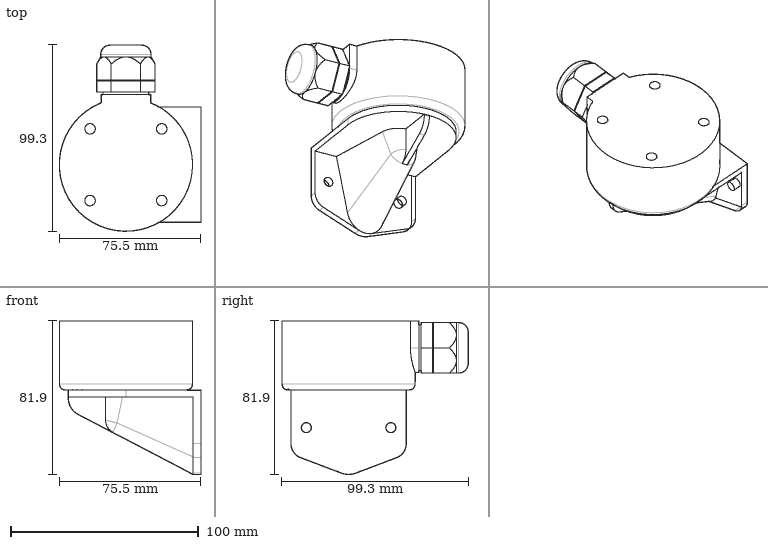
import cadquery as cq
import math

HOUSING_DIAMETER = 71.0
HOUSING_HEIGHT = 36.9
HOUSING_BOTTOM_RADIUS = 3.2
SCREW_HOLE_DIAMETER = 5.6
SCREW_CIRCLE_DIAMETER = 54.0
SCREW_HOLE_DEPTH = 10.0

GLAND_Z = 22.5
BOSS_WIDTH = 26.5
BOSS_END_Y = 37.35
NECK_DIAMETER = 24.4
HEX_ACROSS_FLATS = 27.0
HEX_START_Y = 38.6
HEX_JOINT_Y = 44.9
HEX_JOINT_WIDTH = 0.4
HEX_JOINT_DEPTH = 0.1
HEX_CHAMFER_Y = 53.7
HEX_END_Y = 57.4
DOME_START_Y = 58.6
GLAND_END_Y = 63.75

FLANGE_DIAMETER = 61.5
FLANGE_THICKNESS = 3.7
WALL_OUTER_X = 40.0
WALL_THICKNESS = 4.3
WALL_HEIGHT = 45.0
WALL_SLOPE = math.radians(20.8)
WALL_CORNER_RADIUS = 8.0
WALL_TIP_RADIUS = 11.0
WALL_HOLE_DIAMETER = 5.2
WALL_HOLE_SPACING = 45.0
WALL_HOLE_Z = -20.0

NOSE_X = -11.0
GUSSET_TOP_HALF_WIDTH = 17.7
GUSSET_TAPER_X = 0.184
GUSSET_TAPER_Z = 0.2127
BELLY_SLOPE = math.radians(27.6)
RIB_THICKNESS = 3.1
RIB_CORNER_RADIUS = 10.0

WALL_INNER_X = WALL_OUTER_X - WALL_THICKNESS
FLANGE_RADIUS = FLANGE_DIAMETER / 2
GUSSET_MARGIN = 20.0


def cylinder_y(diameter, start, end):
    """Cylinder on the gland axis between two Y positions."""
    return cq.Workplane(cq.Solid.makeCylinder(
        diameter / 2, end - start, cq.Vector(0, start, GLAND_Z), cq.Vector(0, 1, 0)))


def hexagon_y(across_flats, start, end):
    """Hexagonal prism on the gland axis with flats facing +Z and -Z."""
    across_corners = across_flats / math.cos(math.pi / 6)
    return (cq.Workplane("XZ", origin=(0, start, GLAND_Z))
            .polygon(6, across_corners).extrude(start - end))


def make_housing():
    drum = (cq.Workplane("XY").circle(HOUSING_DIAMETER / 2).extrude(HOUSING_HEIGHT)
            .faces("<Z").edges().fillet(HOUSING_BOTTOM_RADIUS))
    boss_round = cylinder_y(BOSS_WIDTH, 0, BOSS_END_Y)
    boss_block = cq.Workplane("XY", origin=(0, 0, GLAND_Z)).box(
        BOSS_WIDTH, BOSS_END_Y, HOUSING_HEIGHT - GLAND_Z, centered=(True, False, False))
    return drum.union(boss_block.union(boss_round))


def cut_screw_holes(body):
    spacing = SCREW_CIRCLE_DIAMETER / math.sqrt(2)
    holes = (cq.Workplane("XY", origin=(0, 0, HOUSING_HEIGHT))
             .rect(spacing, spacing, forConstruction=True).vertices()
             .circle(SCREW_HOLE_DIAMETER / 2).extrude(-SCREW_HOLE_DEPTH))
    return body.cut(holes)


def make_gland():
    neck = cylinder_y(NECK_DIAMETER, BOSS_END_Y, HEX_START_Y)
    flat_radius = HEX_ACROSS_FLATS / 2
    corner_radius = flat_radius / math.cos(math.pi / 6)
    bevel = (cq.Workplane("XY", origin=(0, 0, GLAND_Z))
             .polyline([(0, HEX_START_Y), (corner_radius, HEX_START_Y), (corner_radius, HEX_CHAMFER_Y),
                        (flat_radius, HEX_END_Y), (0, HEX_END_Y)])
             .close().revolve(360, (0, 0, 0), (0, 1, 0)))
    nut = hexagon_y(HEX_ACROSS_FLATS, HEX_START_Y, HEX_END_Y).intersect(bevel)
    joint_start = HEX_JOINT_Y - HEX_JOINT_WIDTH / 2
    joint_end = HEX_JOINT_Y + HEX_JOINT_WIDTH / 2
    joint = hexagon_y(HEX_ACROSS_FLATS + HEX_JOINT_WIDTH, joint_start, joint_end).cut(
        hexagon_y(HEX_ACROSS_FLATS - 2 * HEX_JOINT_DEPTH, joint_start, joint_end))
    dome = (cylinder_y(HEX_ACROSS_FLATS, HEX_END_Y, GLAND_END_Y)
            .faces(">Y").edges().fillet(GLAND_END_Y - DOME_START_Y))
    return neck.union(nut.cut(joint)).union(dome)


def make_flange():
    return (cq.Workplane("XY").moveTo(0, FLANGE_RADIUS)
            .threePointArc((-FLANGE_RADIUS, 0), (0, -FLANGE_RADIUS))
            .lineTo(WALL_OUTER_X, -FLANGE_RADIUS)
            .lineTo(WALL_OUTER_X, FLANGE_RADIUS)
            .close().extrude(-FLANGE_THICKNESS))


def make_wall():
    tip_z = -WALL_HEIGHT - WALL_TIP_RADIUS * (1 / math.cos(WALL_SLOPE) - 1)
    corner_z = tip_z + FLANGE_RADIUS * math.tan(WALL_SLOPE)
    wall = (cq.Workplane("YZ", origin=(WALL_INNER_X, 0, 0))
            .polyline([(-FLANGE_RADIUS, 0), (FLANGE_RADIUS, 0), (FLANGE_RADIUS, corner_z),
                       (0, tip_z), (-FLANGE_RADIUS, corner_z)])
            .close().extrude(WALL_THICKNESS))
    wall = wall.edges("|X").edges("<Z").fillet(WALL_TIP_RADIUS)
    wall = wall.edges("|X and (<Y or >Y)").edges("<Z").fillet(WALL_CORNER_RADIUS)
    holes = (cq.Workplane("YZ", origin=(WALL_INNER_X, 0, WALL_HOLE_Z))
             .pushPoints([(-WALL_HOLE_SPACING / 2, 0), (WALL_HOLE_SPACING / 2, 0)])
             .circle(WALL_HOLE_DIAMETER / 2).extrude(WALL_THICKNESS))
    return wall.cut(holes)


def belly_z(x):
    """Height of the gusset's lowest line, which reaches the wall at its bottom."""
    return -WALL_HEIGHT + (WALL_INNER_X - x) * math.tan(BELLY_SLOPE)


def gusset_half_width(x, z):
    return (GUSSET_TOP_HALF_WIDTH + GUSSET_TAPER_X * (x - WALL_INNER_X)
            + GUSSET_TAPER_Z * (z + FLANGE_THICKNESS))


def inscribed_ball(x, z, shift_x, shift_z):
    """Centre and radius of the ball that touches both sides of the gusset.

    The centre lies in the plane Y = 0, at (x, z) plus radius * (shift_x, shift_z).
    """
    stretch = math.sqrt(1 + GUSSET_TAPER_X ** 2 + GUSSET_TAPER_Z ** 2)
    radius = gusset_half_width(x, z) / (stretch - GUSSET_TAPER_X * shift_x - GUSSET_TAPER_Z * shift_z)
    return cq.Vector(x + radius * shift_x, 0, z + radius * shift_z), radius


def tangent_cone(ball_a, ball_b):
    """Cone frustum that touches two balls and ends at their contact circles."""
    centre_a, radius_a = ball_a
    centre_b, radius_b = ball_b
    axis = (centre_b - centre_a).normalized()
    sine = (radius_b - radius_a) / (centre_b - centre_a).Length
    cosine = math.sqrt(1 - sine ** 2)
    start = centre_a - axis * (radius_a * sine)
    end = centre_b - axis * (radius_b * sine)
    return cq.Workplane(cq.Solid.makeCone(
        radius_a * cosine, radius_b * cosine, (end - start).Length, start, axis))


def side_contact(ball):
    """Point where a ball touches the +Y side of the gusset."""
    centre, radius = ball
    normal = cq.Vector(-GUSSET_TAPER_X, 1, -GUSSET_TAPER_Z).normalized()
    return centre + normal * radius


def make_gusset():
    belly_lift = 1 / math.cos(BELLY_SLOPE)
    far_x = WALL_INNER_X + GUSSET_MARGIN
    nose_ball = inscribed_ball(NOSE_X, GUSSET_MARGIN, 1, 0)
    heel_ball = inscribed_ball(NOSE_X, belly_z(NOSE_X), 1, belly_lift - math.tan(BELLY_SLOPE))
    belly_ball = inscribed_ball(far_x, belly_z(far_x), 0, belly_lift)
    heel_centre, heel_radius = heel_ball

    nose_point = side_contact(nose_ball)
    belly_point = side_contact(belly_ball)
    corner = cq.Vector(
        belly_point.x, gusset_half_width(belly_point.x, nose_point.z), nose_point.z)
    side = [nose_point, side_contact(heel_ball), belly_point, corner]
    opposite_side = [cq.Vector(point.x, -point.y, point.z) for point in side]
    outlines = [cq.Wire.makePolygon(points, close=True) for points in (side, opposite_side)]
    core = cq.Workplane(cq.Solid.makeLoft(outlines, True))

    heel = cq.Workplane("XY").sphere(heel_radius).translate(heel_centre)
    gusset = core.union(tangent_cone(heel_ball, nose_ball))
    gusset = gusset.union(tangent_cone(heel_ball, belly_ball)).union(heel)
    room = cq.Workplane("XY", origin=(WALL_INNER_X - FLANGE_DIAMETER, 0, -WALL_HEIGHT)).box(
        FLANGE_DIAMETER, FLANGE_DIAMETER, WALL_HEIGHT - FLANGE_THICKNESS, centered=(False, True, False))

    rib_end_x = heel_centre.x - heel_radius * math.sin(BELLY_SLOPE)
    rib = (cq.Workplane("XZ")
           .polyline([(-FLANGE_RADIUS, -FLANGE_THICKNESS), (-FLANGE_RADIUS, belly_z(-FLANGE_RADIUS)),
                      (rib_end_x, belly_z(rib_end_x)), (rib_end_x, -FLANGE_THICKNESS)])
           .close().extrude(RIB_THICKNESS / 2, both=True))
    rib = rib.edges("|Y").edges("<X").edges("<Z").fillet(RIB_CORNER_RADIUS)
    return gusset.intersect(room).union(rib)


housing = cut_screw_holes(make_housing())
bracket = make_flange().union(make_wall()).union(make_gusset())
result = housing.union(make_gland()).union(bracket)